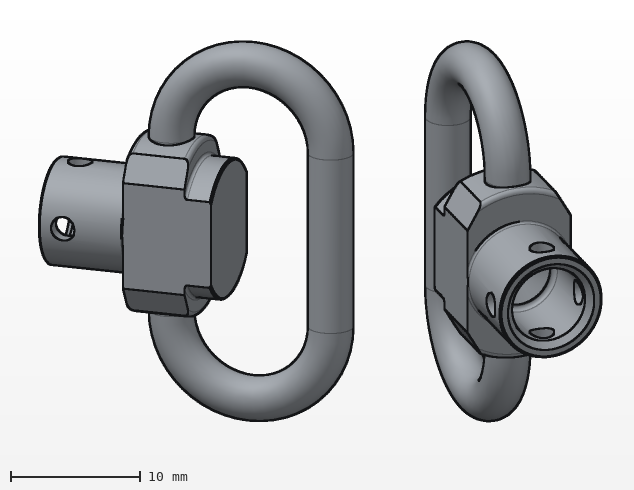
import cadquery as cq
import math


barrel_diameter = 8.42
barrel_length = 6.9
flange_diameter = 14.1
flange_length = 5.0
boss_diameter = 10.98
boss_length = 2.17
flange_start = barrel_length
flange_end = flange_start + flange_length
boss_end = flange_end + boss_length

end_chamfer = 0.12
barrel_root_fillet = 0.18
boss_root_fillet = 0.25
flange_fillet = 0.4

flats_width = 8.5
flats_half_height = 4.27
shoulder_angle = 30.0

bore_diameter = 6.0
bore_depth = barrel_length
mouth_chamfer = 0.55
bore_bottom_fillet = 0.37
cone_diameter = 5.05
drill_point_angle = 118.0

cross_hole_diameter = 1.9
cross_hole_x = 1.98

wire_diameter = 3.55
loop_height = 30.5
bend_center_z = 7.0
socket_floor_z = 4.58
bend_radius = loop_height / 2 - bend_center_z - wire_diameter / 2
wire_end_x = flange_start + flange_length / 2
bend_center_x = wire_end_x + bend_radius
bar_x = bend_center_x + bend_radius


def rim(x, diameter):
    """Selector for the circular edge of the given diameter at position x."""
    margin = 0.03
    outer = diameter / 2 + margin
    inner = diameter / 2 - margin
    disc = cq.selectors.BoxSelector(
        (x - margin, -outer, -outer), (x + margin, outer, outer), boundingbox=True
    )
    core = cq.selectors.BoxSelector(
        (x - margin, -inner, -inner), (x + margin, inner, inner), boundingbox=True
    )
    return disc - core


def make_turned_blank():
    """Solid barrel, flange and boss, revolved about X with all edges broken."""
    profile = (
        cq.Workplane("XY")
        .moveTo(0, 0)
        .lineTo(0, barrel_diameter / 2)
        .lineTo(flange_start, barrel_diameter / 2)
        .lineTo(flange_start, flange_diameter / 2)
        .lineTo(flange_end, flange_diameter / 2)
        .lineTo(flange_end, boss_diameter / 2)
        .lineTo(boss_end, boss_diameter / 2)
        .lineTo(boss_end, 0)
        .close()
    )
    blank = profile.revolve(360, (0, 0, 0), (1, 0, 0))
    blank = blank.edges(rim(flange_start, barrel_diameter)).fillet(barrel_root_fillet)
    blank = blank.edges(rim(flange_end, boss_diameter)).fillet(boss_root_fillet)
    for x in (flange_start, flange_end):
        blank = blank.edges(rim(x, flange_diameter)).fillet(flange_fillet)
    for x, diameter in ((0, barrel_diameter), (boss_end, boss_diameter)):
        blank = blank.edges(rim(x, diameter)).chamfer(end_chamfer)
    return blank


def make_flats_envelope():
    """Prism along X that bounds the base by its flats and sloped shoulders."""
    half_width = flats_width / 2
    top = flange_diameter / 2
    shoulder_run = (top - flats_half_height) * math.tan(math.radians(shoulder_angle))
    top_half_width = half_width - shoulder_run
    return (
        cq.Workplane("YZ")
        .polyline(
            [
                (half_width, -flats_half_height),
                (half_width, flats_half_height),
                (top_half_width, top),
                (-top_half_width, top),
                (-half_width, flats_half_height),
                (-half_width, -flats_half_height),
                (-top_half_width, -top),
                (top_half_width, -top),
            ]
        )
        .close()
        .extrude(boss_end)
    )


def make_bore_cutter():
    """Bore with chamfered mouth, rounded bottom corner and conical drill point."""
    radius = bore_diameter / 2
    cone_radius = cone_diameter / 2
    cone_depth = cone_radius / math.tan(math.radians(drill_point_angle / 2))
    corner_x = bore_depth - bore_bottom_fillet
    corner_radius = radius - bore_bottom_fillet
    diagonal = bore_bottom_fillet * math.sqrt(0.5)
    return (
        cq.Workplane("XY")
        .moveTo(0, 0)
        .lineTo(0, radius + mouth_chamfer)
        .lineTo(mouth_chamfer, radius)
        .lineTo(corner_x, radius)
        .threePointArc(
            (corner_x + diagonal, corner_radius + diagonal),
            (bore_depth, corner_radius),
        )
        .lineTo(bore_depth, cone_radius)
        .lineTo(bore_depth + cone_depth, 0)
        .close()
        .revolve(360, (0, 0, 0), (1, 0, 0))
    )


def make_cross_hole(plane):
    """Hole straight through the barrel, perpendicular to the given plane."""
    return (
        cq.Workplane(plane)
        .center(cross_hole_x, 0)
        .circle(cross_hole_diameter / 2)
        .extrude(barrel_diameter, both=True)
    )


def make_loop():
    """Round wire swept along two half-circle bends joined by a straight bar."""
    path = (
        cq.Workplane("XZ")
        .moveTo(wire_end_x, socket_floor_z)
        .lineTo(wire_end_x, bend_center_z)
        .threePointArc((bend_center_x, bend_center_z + bend_radius), (bar_x, bend_center_z))
        .lineTo(bar_x, -bend_center_z)
        .threePointArc((bend_center_x, -bend_center_z - bend_radius), (wire_end_x, -bend_center_z))
        .lineTo(wire_end_x, -socket_floor_z)
    )
    return (
        cq.Workplane("XY", origin=(wire_end_x, 0, socket_floor_z))
        .circle(wire_diameter / 2)
        .sweep(path)
    )


def make_base(loop):
    """Turned base with flats, bore, cross holes and sockets for the wire ends."""
    base = make_turned_blank().intersect(make_flats_envelope())
    base = base.cut(make_bore_cutter())
    for plane in ("XY", "XZ"):
        base = base.cut(make_cross_hole(plane))
    return base.cut(loop).solids()


loop = make_loop()
base = make_base(loop)

result = cq.Compound.makeCompound([base.val(), loop.val()])